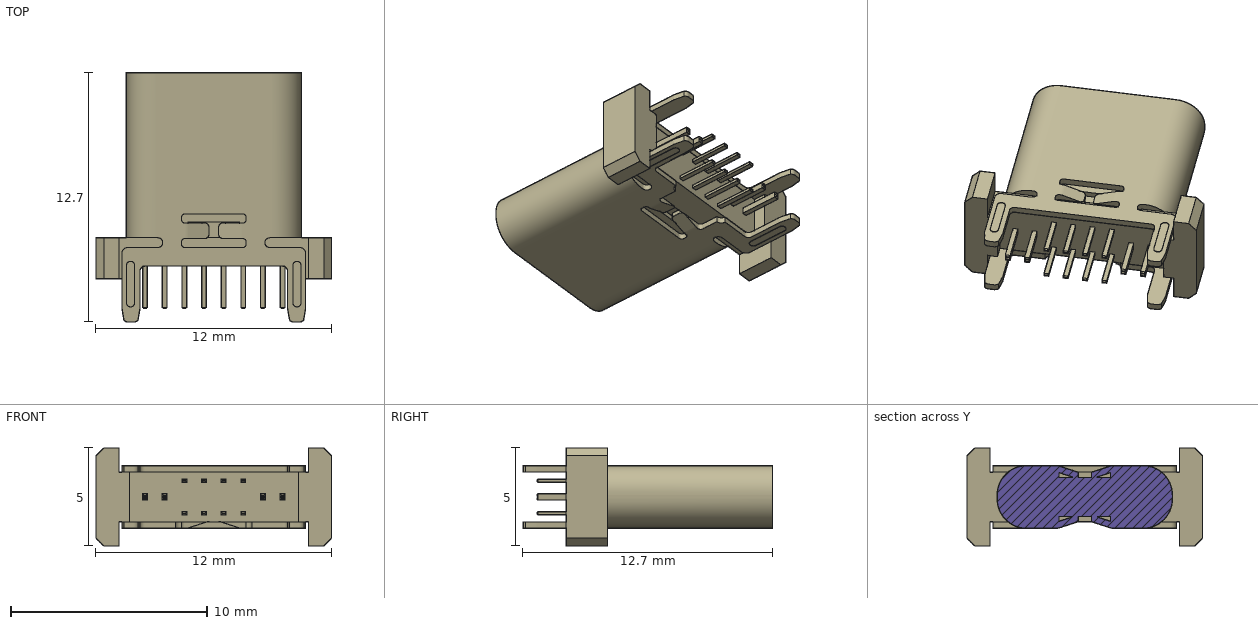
import cadquery as cq
import math


shell_width = 8.93
shell_height = 3.2
shell_corner_radius = 1.5
shell_front_y = 10.5
sheet = 0.33
shell_top_z = shell_height / 2
core_top_z = shell_top_z - sheet

base_depth = 2.1
wing_outer_x = 6.0
wing_inner_x = 4.82
wing_height = 5.0
wing_chamfer = 0.4
recess_half_width = 4.3
recess_depth = 0.67

plate_back_y = 0.65
leg_outer_x = 4.68
leg_inner_x = 3.75
leg_tip_y = -2.2
leg_taper_start_y = -1.5
leg_taper = 0.1
leg_tip_flat = 0.3
leg_tip_arc_height = 0.12
leg_tip_radius = 0.28
leg_inner_fillet = 0.25
leg_shoulder_fillet = 0.3
notch_width = 0.5
notch_end_x = 2.6
shoulder_y = base_depth - notch_width

groove_centre_x = 4.235
groove_width = 0.42
groove_front_y = 0.9
groove_back_y = -1.42
groove_depth = 0.02

slot_half_length = 1.65
slot_width = 0.46
slot_corner_radius = 0.18
tongue_back_y = 2.06
tongue_front_y = 2.85
tongue_root_x = 1.45
tongue_bend_end_x = 1.3
tongue_tip_x = 0.25
tongue_angle = math.radians(18)
tongue_tip_fillet = 0.2
pocket_offset = 0.04
pocket_floor_z = 1.0
mouth_fillet = 0.3

pin_pitch = 1.0
pin_width = 0.25
pin_end_y = -1.5
pin_chamfer = 0.06
pin_height = 0.165
outer_pin_columns = (2.5, 3.5)
inner_pin_columns = (0.5, 1.5)
inner_row_z = 0.83
outer_row_z = pin_height / 2


def box(x_range, y_range, z_range):
    """Axis-aligned box between the given limits."""
    (x0, x1), (y0, y1), (z0, z1) = x_range, y_range, z_range
    return cq.Workplane("XY").box(x1 - x0, y1 - y0, z1 - z0, centered=False).translate((x0, y0, z0))


def make_shell():
    """Rounded shell body in front of the base."""
    section = cq.Workplane("XZ", origin=(0, base_depth, 0)).rect(shell_width, shell_height)
    length = shell_front_y - base_depth
    return section.extrude(-length).edges("|Y").fillet(shell_corner_radius)


def make_base():
    """Core block, recessed at the pins, with a chamfered wing at each end."""
    depth_range = (0, base_depth)
    base = box((-wing_inner_x, wing_inner_x), depth_range, (-core_top_z, core_top_z))
    recess = box(
        (-recess_half_width, recess_half_width), (0, recess_depth), (-core_top_z, core_top_z)
    )
    base = base.cut(recess)
    wing = box((wing_inner_x, wing_outer_x), depth_range, (-wing_height / 2, wing_height / 2))
    wing = wing.faces(">X").edges("|Y").chamfer(wing_chamfer)
    return base.union(wing).union(wing.mirror("YZ"))


def make_leg():
    """Leg on the +X side with a tapered tip, up to the shoulder."""
    centre_x = (leg_inner_x + leg_outer_x) / 2
    flat_outer_x = centre_x + leg_tip_flat / 2
    flat_inner_x = centre_x - leg_tip_flat / 2
    arc_start_y = leg_tip_y + leg_tip_arc_height
    leg = (
        cq.Workplane("XY", origin=(0, 0, core_top_z))
        .moveTo(leg_inner_x, shoulder_y)
        .lineTo(leg_outer_x, shoulder_y)
        .lineTo(leg_outer_x, leg_taper_start_y)
        .lineTo(leg_outer_x - leg_taper, arc_start_y)
        .radiusArc((flat_outer_x, leg_tip_y), leg_tip_radius)
        .lineTo(flat_inner_x, leg_tip_y)
        .radiusArc((leg_inner_x + leg_taper, arc_start_y), leg_tip_radius)
        .lineTo(leg_inner_x, leg_taper_start_y)
        .close()
        .extrude(sheet)
    )
    return leg.edges("|Z and >Y and >X").fillet(leg_shoulder_fillet)


def make_groove():
    """Oblong groove cutter for the +X leg."""
    length = groove_front_y - groove_back_y
    centre_y = (groove_front_y + groove_back_y) / 2
    plane = cq.Workplane("XY", origin=(groove_centre_x, centre_y, shell_top_z - groove_depth))
    return plane.slot2D(length, groove_width, 90).extrude(sheet)


def make_inner_corner():
    """Concave fillet between the +X leg and the back edge of the plate."""
    size = leg_inner_fillet
    corner_x = leg_inner_x - size
    corner_y = plate_back_y - size
    block = box(
        (corner_x, leg_inner_x), (corner_y, plate_back_y), (core_top_z, shell_top_z)
    )
    round_cut = cq.Workplane("XY", origin=(corner_x, corner_y, core_top_z)).circle(size).extrude(sheet)
    return block.cut(round_cut)


def make_plate():
    """Plate joining the shell to its two legs."""
    plate_z = (core_top_z, shell_top_z)
    plate = box((-leg_inner_x, leg_inner_x), (plate_back_y, shoulder_y), plate_z)
    neck_half_width = notch_end_x + notch_width / 2
    plate = plate.union(box((-neck_half_width, neck_half_width), (shoulder_y, base_depth), plate_z))
    leg = make_leg().cut(make_groove()).union(make_inner_corner())
    notch_end = (
        cq.Workplane("XY", origin=(neck_half_width, shoulder_y + notch_width / 2, core_top_z))
        .circle(notch_width / 2)
        .extrude(sheet)
    )
    for side_leg, side_notch in ((leg, notch_end), (leg.mirror("YZ"), notch_end.mirror("YZ"))):
        plate = plate.union(side_leg).cut(side_notch)
    return plate


def make_window():
    """Cutter for the two cross slots, the opening between them and the pocket below."""
    slot_centres = (tongue_back_y - slot_width / 2, tongue_front_y + slot_width / 2)
    window = box(
        (-tongue_root_x, tongue_root_x), (tongue_back_y, tongue_front_y), (core_top_z, shell_top_z)
    )
    for centre_y in slot_centres:
        slot = (
            cq.Workplane("XY", origin=(0, centre_y, core_top_z))
            .rect(2 * slot_half_length, slot_width)
            .extrude(sheet)
            .edges("|Z")
            .fillet(slot_corner_radius)
        )
        window = window.union(slot)
    pocket = box(
        (-tongue_bend_end_x, tongue_bend_end_x),
        (tongue_back_y + pocket_offset, tongue_front_y + pocket_offset),
        (pocket_floor_z, core_top_z),
    )
    return window.union(pocket)


def make_tongue():
    """Sheet tongue on the +X side of the window, bent inward towards the middle."""
    outer_radius = (tongue_root_x - tongue_bend_end_x) / math.sin(tongue_angle)
    inner_radius = outer_radius - sheet
    centre_z = shell_top_z - outer_radius

    def bend_point(radius, angle):
        return (tongue_root_x - radius * math.sin(angle), centre_z + radius * math.cos(angle))

    ramp_drop = (tongue_bend_end_x - tongue_tip_x) * math.tan(tongue_angle)
    tip_z = bend_point(outer_radius, tongue_angle)[1] - ramp_drop
    inner_bend_end = bend_point(inner_radius, tongue_angle)
    inner_tip_z = inner_bend_end[1] - (inner_bend_end[0] - tongue_tip_x) * math.tan(tongue_angle)
    tongue = (
        cq.Workplane("XZ", origin=(0, tongue_front_y, 0))
        .moveTo(*bend_point(outer_radius, 0))
        .threePointArc(
            bend_point(outer_radius, tongue_angle / 2), bend_point(outer_radius, tongue_angle)
        )
        .lineTo(tongue_tip_x, tip_z)
        .lineTo(tongue_tip_x, inner_tip_z)
        .lineTo(*inner_bend_end)
        .threePointArc(bend_point(inner_radius, tongue_angle / 2), bend_point(inner_radius, 0))
        .close()
        .extrude(tongue_front_y - tongue_back_y)
    )
    return tongue.edges("|Z and <X").fillet(tongue_tip_fillet)


def make_window_mouth():
    """Cutter that opens the rear slot to the back edge of the plate, with a flared mouth."""
    mouth_half_width = slot_half_length + mouth_fillet
    slot_back_y = tongue_back_y - slot_width
    outline = (
        cq.Workplane("XY", origin=(0, 0, core_top_z))
        .moveTo(-mouth_half_width, plate_back_y)
        .radiusArc((-slot_half_length, plate_back_y + mouth_fillet), mouth_fillet)
        .lineTo(-slot_half_length, slot_back_y + slot_width / 2)
        .lineTo(slot_half_length, slot_back_y + slot_width / 2)
        .lineTo(slot_half_length, plate_back_y + mouth_fillet)
        .radiusArc((mouth_half_width, plate_back_y), mouth_fillet)
        .close()
    )
    return outline.extrude(sheet)


def make_pin(x, z):
    """Straight pin with a chamfered end."""
    half_width = pin_width / 2
    half_height = pin_height / 2
    pin = box(
        (x - half_width, x + half_width),
        (pin_end_y, base_depth),
        (z - half_height, z + half_height),
    )
    return pin.faces("<Y").edges().chamfer(pin_chamfer)


def make_pins():
    """All pins: touching pairs at both ends and two spread rows in the middle."""
    pins = []
    for columns, row_z in ((outer_pin_columns, outer_row_z), (inner_pin_columns, inner_row_z)):
        for column in columns:
            for side_x in (-1, 1):
                for side_z in (-1, 1):
                    pins.append(make_pin(side_x * column * pin_pitch, side_z * row_z))
    return pins


plate = make_plate()
window = make_window()
tongue = make_tongue()
tongues = tongue.union(tongue.mirror("YZ"))
lower_window = window.union(make_window_mouth()).mirror("XY")

result = make_shell().union(make_base()).union(plate).union(plate.mirror("XY"))
result = result.cut(window).cut(lower_window)
result = result.union(tongues).union(tongues.mirror("XY"))
for pin in make_pins():
    result = result.union(pin)